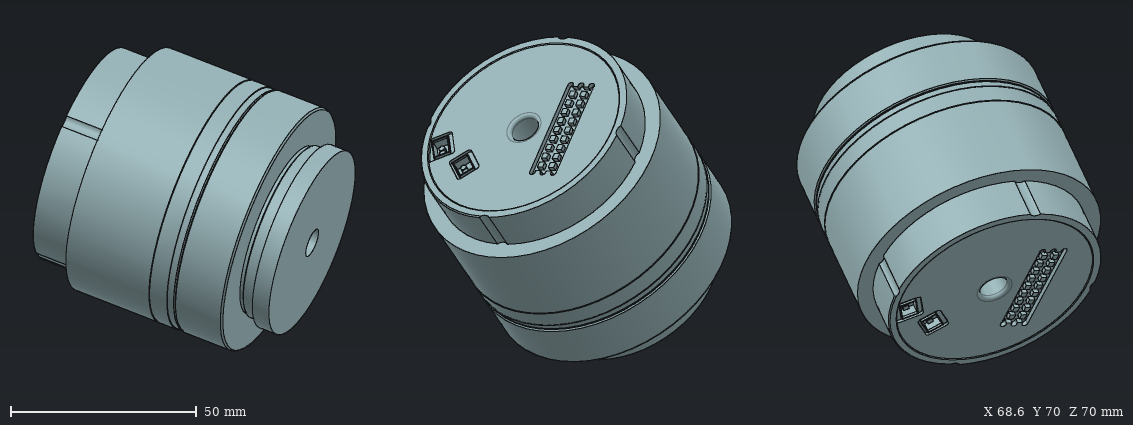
import cadquery as cq
import math

length = 68.6
front_end = 12.0
seam_position = 36.95
drum_end = 42.2
ring_end = 44.1
ring_groove_end = 44.5
rear_drum_end = 58.8
neck_end = 59.8
collar_end = 63.6

drum_radius = 35.0
front_radius = 30.5
ring_radius = 34.7
groove_radius = 34.6
rear_face_radius = 34.6
neck_radius = 24.2
collar_radius = 24.8
flange_radius = 26.45
seam_size = 0.2
rear_bevel_length = 0.55
drum_bevel_length = 0.35
collar_bevel_length = 0.35

bore_radius = 3.9
bore_fillet = 1.1

cap_radius = 28.15
cap_depth = 0.2
cap_bevel = 0.3

flute_count = 4
flute_start_angle = 22.5
flute_step = 360 / flute_count
flute_radius = 2.25
flute_center_radius = 32.05

quarter_bevel = 0.35

header_angle = 22.5
header_offset = -12.2
header_width = 8.4
header_length = 28.4
header_depth = 1.4
ear_width = 1.7
ear_reach = 1.3
ear_spacing = (header_width - ear_width) / 2
pin_rows = 9
pin_columns = 2
pin_row_pitch = 3.0
pin_column_pitch = 3.5
header_pin_size = 1.7
header_pin_height = 1.25

socket_places = [(24.2, 2.25, -6.0, 1.4), (17.65, -6.8, -20.0, 0.0)]
socket_width = 6.85
socket_height = 8.05
socket_corner = 0.85
socket_depth = 0.85
housing_width = 4.8
housing_height = 6.2
housing_wall = 0.3
housing_offset = 0.35
cavity_depth = 3.0
contact_size = 1.6
contact_spacing = 1.9
contact_offset = 0.7
contact_height = 1.4


def cap_plane(depth=0.0):
    """Plane at a depth below the cap; its x and y are the part's Y and Z, extrusion goes inward."""
    return cq.Workplane("YZ", origin=(cap_depth + depth, 0, 0))


def place(shape, y, z, tilt):
    """Tilt a shape about the X axis, then move it to (y, z)."""
    return shape.rotate((0, 0, 0), (1, 0, 0), tilt).translate((0, y, z))


def make_body():
    profile = [
        (0, 0),
        (0, front_radius),
        (front_end, front_radius),
        (front_end, drum_radius),
        (seam_position - seam_size / 2, drum_radius),
        (seam_position, drum_radius - seam_size),
        (seam_position + seam_size / 2, drum_radius),
        (drum_end, drum_radius),
        (drum_end, ring_radius),
        (ring_end, ring_radius),
        (ring_end, groove_radius),
        (ring_groove_end, groove_radius),
        (ring_groove_end + drum_bevel_length, drum_radius),
        (rear_drum_end - rear_bevel_length, drum_radius),
        (rear_drum_end, rear_face_radius),
        (rear_drum_end, neck_radius),
        (neck_end, neck_radius),
        (neck_end + collar_bevel_length, collar_radius),
        (collar_end, collar_radius),
        (collar_end, flange_radius),
        (length, flange_radius),
        (length, 0),
    ]
    return cq.Workplane("XY").polyline(profile).close().revolve(360, (0, 0, 0), (1, 0, 0))


def make_cap_recess():
    profile = [
        (0, 0),
        (0, cap_radius + cap_bevel),
        (cap_depth, cap_radius),
        (cap_depth, 0),
    ]
    return cq.Workplane("XY").polyline(profile).close().revolve(360, (0, 0, 0), (1, 0, 0))


def make_flutes():
    return (
        cq.Workplane("YZ")
        .polarArray(flute_center_radius, flute_start_angle, 360, flute_count)
        .circle(flute_radius)
        .extrude(front_end)
    )


def make_quarter_bevel():
    profile = [
        (0, front_radius),
        (0, front_radius - quarter_bevel),
        (quarter_bevel, front_radius),
    ]
    bevel = cq.Workplane("XY").polyline(profile).close().revolve(flute_step, (0, 0, 0), (1, 0, 0))
    return bevel.rotate((0, 0, 0), (1, 0, 0), flute_start_angle - flute_step)


def make_bore():
    arc_reach = bore_fillet * (1 - math.sqrt(0.5))
    arc_middle = (cap_depth + arc_reach, bore_radius + arc_reach)
    arc_end = (cap_depth + bore_fillet, bore_radius)
    return (
        cq.Workplane("XY")
        .moveTo(cap_depth, 0)
        .lineTo(cap_depth, bore_radius + bore_fillet)
        .threePointArc(arc_middle, arc_end)
        .lineTo(length, bore_radius)
        .lineTo(length, 0)
        .close()
        .revolve(360, (0, 0, 0), (1, 0, 0))
    )


def make_header_recess():
    recess = cap_plane().rect(header_width, header_length).extrude(header_depth)
    ear_length = header_length + 2 * ear_reach
    ears = (
        cap_plane()
        .pushPoints([(i * ear_spacing, 0) for i in (-1, 0, 1)])
        .slot2D(ear_length, ear_width, 90)
        .extrude(header_depth)
    )
    pins = (
        cap_plane(header_depth - header_pin_height)
        .rarray(pin_column_pitch, pin_row_pitch, pin_columns, pin_rows)
        .rect(header_pin_size, header_pin_size)
        .extrude(header_pin_height)
    )
    header = recess.union(ears).cut(pins).translate((0, header_offset, 0))
    return place(header, 0, 0, header_angle)


def make_socket_recess(y, z, tilt, extra_width):
    """Rounded recess around a flush housing, whose cavity holds one round and one square contact."""
    trench = (
        cap_plane()
        .center(extra_width / 2, 0)
        .rect(socket_width + extra_width, socket_height)
        .extrude(socket_depth)
        .edges("|X")
        .fillet(socket_corner)
    )
    housing = (
        cap_plane()
        .center(housing_offset, 0)
        .rect(housing_width, housing_height)
        .extrude(socket_depth)
    )
    cavity = (
        cap_plane()
        .center(housing_offset, 0)
        .rect(housing_width - 2 * housing_wall, housing_height - 2 * housing_wall)
        .extrude(cavity_depth)
    )
    round_contact = (
        cap_plane(cavity_depth - contact_height)
        .center(contact_offset, contact_spacing / 2)
        .circle(contact_size / 2)
        .extrude(contact_height)
    )
    square_contact = (
        cap_plane(cavity_depth - contact_height)
        .center(contact_offset, -contact_spacing / 2)
        .rect(contact_size, contact_size)
        .extrude(contact_height)
    )
    socket = trench.cut(housing).union(cavity).cut(round_contact).cut(square_contact)
    cap_area = cap_plane().circle(cap_radius).extrude(cavity_depth)
    return place(socket, y, z, tilt).intersect(cap_area)


result = (
    make_body()
    .cut(make_cap_recess())
    .cut(make_flutes())
    .cut(make_quarter_bevel())
    .cut(make_bore())
    .cut(make_header_recess())
)
for socket_place in socket_places:
    result = result.cut(make_socket_recess(*socket_place))